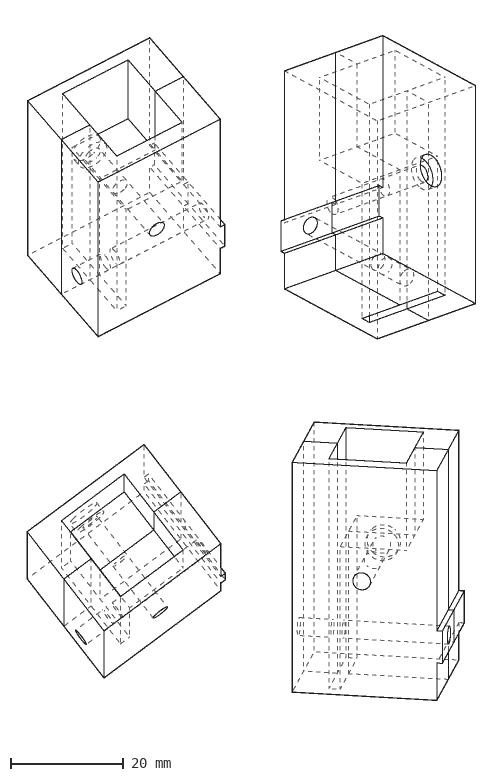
import cadquery as cq

block_width = 22.5
block_depth = 26.0
block_height = 43.0
split_x = 10.75

left_wall = 2.1
pocket_width = 17.25
front_wall = 6.05
pocket_depth = 13.95
core_top = 26.65

slot_depth = 2.0

rib_projection = 27.0 - block_depth
rib_height = 6.0
rib_center_z = 10.0

hole_diameter = 3.2
counterbore_diameter = 6.0
counterbore_depth = 2.0
cross_hole_y = 12.5
cross_hole_z = block_height / 2
front_hole_x = 15.75
front_hole_z = rib_center_z


def box_at(size, corner):
    """Box of the given size with its lowest corner at the given point."""
    return cq.Workplane("XY").box(*size, centered=False).translate(corner)


def cylinder_at(diameter, length, start, direction):
    """Cylinder that begins at a point and runs along a direction."""
    return cq.Workplane(cq.Solid.makeCylinder(diameter / 2, length, cq.Vector(*start), cq.Vector(*direction)))


def make_rib():
    size = (block_width, rib_projection, rib_height)
    return box_at(size, (0, block_depth, rib_center_z - rib_height / 2))


def make_pocket():
    size = (pocket_width, pocket_depth, block_height - core_top)
    return box_at(size, (left_wall, front_wall, core_top))


def make_slot():
    return box_at((pocket_width, slot_depth, block_height), (left_wall, front_wall, 0))


def make_cross_hole():
    """Hole along X through both halves, counterbored on the left."""
    start = (0, cross_hole_y, cross_hole_z)
    along_x = (1, 0, 0)
    hole = cylinder_at(hole_diameter, block_width, start, along_x)
    return hole.union(cylinder_at(counterbore_diameter, counterbore_depth, start, along_x))


def make_front_hole():
    """Hole along Y from the front face through the rib."""
    start = (front_hole_x, 0, front_hole_z)
    return cylinder_at(hole_diameter, block_depth + rib_projection, start, (0, 1, 0))


def make_half(start_x, end_x):
    """The part of the whole block that lies between two X positions."""
    half = box_at((block_width, block_depth, block_height), (0, 0, 0))
    half = half.union(make_rib())
    for cutter in (make_pocket(), make_slot(), make_cross_hole(), make_front_hole()):
        half = half.cut(cutter)
    portion = box_at((end_x - start_x, block_depth + rib_projection, block_height), (start_x, 0, 0))
    return half.intersect(portion)


left_half = make_half(0, split_x)
right_half = make_half(split_x, block_width)

result = cq.Compound.makeCompound([*left_half.solids().vals(), *right_half.solids().vals()])